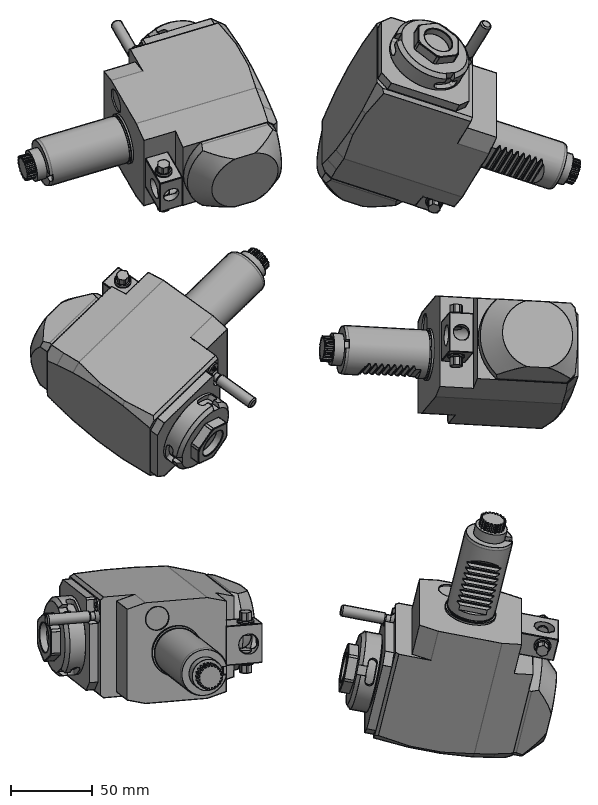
import cadquery as cq
import math


HALF_HEIGHT = 32.0
BACK_Y = 85.0
STEP_Y = 21.0
BODY_LEFT_X = -42.2
BODY_RIGHT_X = 44.0
SEAT_LEFT_X = -31.8
SEAT_RIGHT_X = 32.3
TAPER_START_X = 20.0
TAPER_SLOPE = math.tan(math.radians(15))
LEFT_EDGE_CHAMFER = 2.0
REAR_CORNER_CHAMFER = 3.4
REAR_EDGE_LEGS = [(-44.0, 6.0), (-20.0, 2.3), (0.0, 2.3), (20.0, 5.5), (33.0, 9.7), (46.0, 14.6)]

SPINDLE_Y = 55.0
CAP_RADIUS = 33.5
CAP_END_X = 61.5
CAP_CHAMFER = 11.5
CAP_REAR_Y = 81.0
CAP_HALF_HEIGHT = 25.2
CAP_TAPER_X = 45.8

PLATE_SIZE = 58.8
PLATE_LEFT_X = -47.8
PLATE_CORNER = 6.5
NOTCH_Y = 31.3
NOTCH_LIP = 1.2
PIN_Y = 26.3
PIN_Z = 19.0
PIN_CLEARANCE_RADIUS = 4.7

COLLAR_RADIUS = 22.0
NUT_RADIUS = 24.4
NUT_LEFT_X = -61.1
NUT_RIGHT_X = -48.5
NUT_CHAMFER = 2.4
NUT_SLOT_COUNT = 3
KEY_SLOT_FLOOR = 21.5
KIDNEY_FLOOR = 21.0
KEY_SLOT_WIDTH = 6.0
KIDNEY_X = -52.7
KIDNEY_WIDTH = 5.4
KIDNEY_HALF_ANGLE = 20.5

HEX_LEFT_X = -67.5
HEX_FLATS = 27.0
HEX_CORNER_RADIUS = 15.1
HEX_EDGE_CHAMFER = 0.4
BORE_RADIUS = 9.2
BORE_DEPTH = 4.8
BORE_CHAMFER = 0.4

PIN_TIP_X = -75.38
PIN_RADIUS = 3.5
PIN_TIP_CHAMFER = 0.9
PIN_SHOULDER_X = -48.3
PIN_NECK_RADIUS = 2.7
PIN_NECK_LEFT_X = -47.4
PIN_NECK_RIGHT_X = -44.6
PIN_FLARE_RADIUS = 4.4
SCREW_Z = 26.0
SCREW_RADIUS = 4.0
SCREW_HEIGHT = 1.2
SCREW_SOCKET_FLATS = 2.8
SCREW_SOCKET_DEPTH = 0.8

SHANK_RADIUS = 15.0
SHANK_LENGTH = 55.0
SHANK_CHAMFER_RADIAL = 0.5
SHANK_CHAMFER_AXIAL = 1.7
SEAT_RING_RADIUS = 15.9
SEAT_RING_LENGTH = 1.3
RELIEF_RADIUS = 14.7
RELIEF_END = 2.3
NECK_RADIUS = 9.9
NECK_END = 61.3
SPLINE_END = 67.0
SPLINE_TIP_RADIUS = 7.9
SPLINE_ROOT_RADIUS = 6.9
SPLINE_TEETH = 20
TOOTH_TIP_SHARE = 0.18
TOOTH_ROOT_SHARE = 0.30
KEYWAY_WIDTH = 5.2
KEYWAY_STEP_X = 13.0
KEYWAY_INNER_DEPTH = 4.0
KEYWAY_OUTER_DEPTH = 2.0

RACK_Z = -12.3
RACK_START = 6.7
RACK_END = 41.8
RACK_VALLEY_Z = -10.6
RACK_PITCH = 4.0
RACK_FIRST_VALLEY = 11.6
RACK_VALLEYS = 8
RACK_VALLEY_FLAT = 0.6
RACK_VALLEY_WIDTH = 3.0

RECESS_X = -12.3
RECESS_Z = 21.4
RECESS_RADIUS = 7.5
RECESS_DEPTH = 1.0

BLOCK_RIGHT_X = 55.8
BLOCK_FRONT_Y = 0.9
BLOCK_BACK_Y = 16.0
BLOCK_HALF_HEIGHT = 12.5
BLOCK_CHAMFER = 0.4
BLOCK_HOLE_X = 46.9
BLOCK_HOLE_RADIUS = 6.4
CROSS_HOLE_RADIUS = 5.0
BLOCK_SCREW_Y = 7.0
BLOCK_SCREW_RADIUS = 3.6
BLOCK_SCREW_TIP_Z = 4.8
WASHER_RADIUS = 5.2
WASHER_HEIGHT = 1.5
WASHER_CHAMFER = 0.7
BOLT_FLATS = 7.0
BOLT_CORNER_RADIUS = 3.8
BOLT_TOP_Z = 19.2


def box(x_range, y_range, z_range):
    size = [high - low for low, high in (x_range, y_range, z_range)]
    return cq.Workplane(
        "XY", origin=(x_range[0], y_range[0], z_range[0])
    ).box(*size, centered=False)


def rod(x_start, x_end, radius, y=SPINDLE_Y, z=0.0):
    """Cylinder along X."""
    return cq.Workplane("YZ", origin=(x_start, y, z)).circle(radius).extrude(x_end - x_start)


def shank_rod(start, end, radius):
    """Cylinder along -Y between two distances from the seating face."""
    return cq.Workplane("XZ", origin=(0, -start, 0)).circle(radius).extrude(end - start)


def both_sides(solid):
    """The solid together with its mirror image in the plane z = 0."""
    return solid.union(solid.mirror("XY"))


def hexagon(workplane, flats, turn, height):
    """Hexagonal prism; turn is the angle of its first corner in degrees."""
    corner_radius = flats / math.sqrt(3)
    corners = []
    for index in range(6):
        angle = math.radians(turn + 60 * index)
        corners.append((corner_radius * math.cos(angle), corner_radius * math.sin(angle)))
    return workplane.polyline(corners).close().extrude(height)


def tapered_prism(start_x, end_x, half_height, y_range, taper_x):
    """Slab whose upper and lower faces lean in by 15 degrees beyond taper_x."""
    end_half_height = half_height - (end_x - taper_x) * TAPER_SLOPE
    outline = [
        (start_x, -half_height),
        (taper_x, -half_height),
        (end_x, -end_half_height),
        (end_x, end_half_height),
        (taper_x, half_height),
        (start_x, half_height),
    ]
    slab = cq.Workplane("XZ", origin=(0, y_range[1], 0)).polyline(outline).close()
    return slab.extrude(y_range[1] - y_range[0])


def rear_edge_cutter():
    """Wedges that bevel the upper rear edge by a leg that varies along X."""
    spare = 1.0
    cutter = None
    for (x_start, leg_start), (x_end, leg_end) in zip(REAR_EDGE_LEGS, REAR_EDGE_LEGS[1:]):
        sections = []
        for x, leg in ((x_start, leg_start), (x_end, leg_end)):
            low_z = HALF_HEIGHT - leg - spare
            low_y = BACK_Y - leg - spare
            corners = [
                cq.Vector(x, BACK_Y + spare, low_z),
                cq.Vector(x, BACK_Y + spare, HALF_HEIGHT + spare),
                cq.Vector(x, low_y, HALF_HEIGHT + spare),
            ]
            sections.append(cq.Wire.makePolygon(corners, close=True))
        wedge = cq.Workplane(obj=cq.Solid.makeLoft(sections, True))
        cutter = wedge if cutter is None else cutter.union(wedge)
    return cutter


def make_housing():
    body = tapered_prism(BODY_LEFT_X, BODY_RIGHT_X, HALF_HEIGHT, (STEP_Y, BACK_Y), TAPER_START_X)
    body = body.edges("|Y and <X").chamfer(LEFT_EDGE_CHAMFER)
    body = body.edges("|Z and >X and >Y").chamfer(REAR_CORNER_CHAMFER)
    body = body.cut(both_sides(rear_edge_cutter()))

    seat_right = tapered_prism(0, SEAT_RIGHT_X, HALF_HEIGHT, (0, STEP_Y), TAPER_START_X)
    seat_left = tapered_prism(0, -SEAT_LEFT_X, HALF_HEIGHT, (0, STEP_Y), TAPER_START_X)
    housing = body.union(seat_right).union(seat_left.mirror("YZ"))
    recess = cq.Workplane("XZ", origin=(RECESS_X, 0, RECESS_Z)).circle(RECESS_RADIUS)
    return housing.cut(recess.extrude(-RECESS_DEPTH))


def make_cap():
    cap = rod(BODY_RIGHT_X, CAP_END_X, CAP_RADIUS).faces(">X").chamfer(CAP_CHAMFER)
    envelope = tapered_prism(
        BODY_RIGHT_X, CAP_END_X, CAP_HALF_HEIGHT, (SPINDLE_Y - CAP_RADIUS, CAP_REAR_Y), CAP_TAPER_X
    )
    return cap.intersect(envelope)


def make_plate():
    half = PLATE_SIZE / 2
    thickness = BODY_LEFT_X - PLATE_LEFT_X
    plate = cq.Workplane("YZ", origin=(PLATE_LEFT_X, SPINDLE_Y, 0)).rect(PLATE_SIZE, PLATE_SIZE)
    plate = plate.extrude(thickness).edges("|X").chamfer(PLATE_CORNER)
    notch = [
        (SPINDLE_Y - half, PIN_Z),
        (NOTCH_Y, PIN_Z),
        (NOTCH_Y, half - NOTCH_LIP),
        (NOTCH_Y + NOTCH_LIP, half),
        (SPINDLE_Y - half, half),
    ]
    notch_cutter = cq.Workplane("YZ", origin=(PLATE_LEFT_X, 0, 0)).polyline(notch).close()
    plate = plate.cut(notch_cutter.extrude(thickness))
    return plate.cut(rod(PLATE_LEFT_X, BODY_LEFT_X, PIN_CLEARANCE_RADIUS, PIN_Y, PIN_Z))


def nut_slot_cutter():
    """Axial key slot and kidney slot at the +Y side of the nut."""
    spare = 1.0
    reach = NUT_RADIUS + spare
    key_slot = box(
        (NUT_LEFT_X, KIDNEY_X),
        (SPINDLE_Y + KEY_SLOT_FLOOR, SPINDLE_Y + reach),
        (-KEY_SLOT_WIDTH / 2, KEY_SLOT_WIDTH / 2),
    )
    end_radius = KIDNEY_WIDTH / 2
    end_angle = KIDNEY_HALF_ANGLE - math.degrees(end_radius / NUT_RADIUS)
    sector_reach = 2 * reach
    edge_y = sector_reach * math.cos(math.radians(end_angle))
    edge_z = sector_reach * math.sin(math.radians(end_angle))
    left_x = KIDNEY_X - end_radius
    sector = cq.Workplane("YZ", origin=(left_x, SPINDLE_Y, 0))
    sector = sector.polyline([(0, 0), (edge_y, -edge_z), (edge_y, edge_z)]).close()
    rim = rod(left_x, left_x + KIDNEY_WIDTH, reach)
    kidney = sector.extrude(KIDNEY_WIDTH).intersect(rim)
    for angle in (-end_angle, end_angle):
        end = cq.Workplane("XZ", origin=(KIDNEY_X, SPINDLE_Y, 0)).circle(end_radius).extrude(-reach)
        kidney = kidney.union(turn_about_spindle(end, angle))
    kidney = kidney.cut(rod(NUT_LEFT_X, NUT_RIGHT_X, KIDNEY_FLOOR))
    return key_slot.union(kidney)


def turn_about_spindle(solid, angle):
    return solid.rotate((0, SPINDLE_Y, 0), (1, SPINDLE_Y, 0), angle)


def make_nut():
    nut = rod(NUT_LEFT_X, NUT_RIGHT_X, NUT_RADIUS).faces("<X").chamfer(NUT_CHAMFER)
    cutter = nut_slot_cutter()
    for index in range(NUT_SLOT_COUNT):
        nut = nut.cut(turn_about_spindle(cutter, 360 / NUT_SLOT_COUNT * index))
    nut = nut.union(rod(NUT_RIGHT_X, PLATE_LEFT_X, COLLAR_RADIUS))

    hex_plane = cq.Workplane("YZ", origin=(HEX_LEFT_X, SPINDLE_Y, 0))
    hex_head = hexagon(hex_plane, HEX_FLATS, 90, NUT_LEFT_X - HEX_LEFT_X)
    hex_head = hex_head.intersect(rod(HEX_LEFT_X, NUT_LEFT_X, HEX_CORNER_RADIUS))
    hex_head = hex_head.faces("<X").chamfer(HEX_EDGE_CHAMFER)
    bore = rod(HEX_LEFT_X, HEX_LEFT_X + BORE_DEPTH, BORE_RADIUS)
    hex_head = hex_head.cut(bore)
    hex_head = hex_head.faces("<X").edges("%CIRCLE").chamfer(BORE_CHAMFER)
    return nut.union(hex_head)


def make_pin():
    """Turned coolant pin, revolved from its (x, radius) profile."""
    profile = [
        (PIN_TIP_X, 0),
        (PIN_TIP_X, PIN_RADIUS - PIN_TIP_CHAMFER),
        (PIN_TIP_X + PIN_TIP_CHAMFER, PIN_RADIUS),
        (PIN_SHOULDER_X, PIN_RADIUS),
        (PIN_NECK_LEFT_X, PIN_NECK_RADIUS),
        (PIN_NECK_RIGHT_X, PIN_NECK_RADIUS),
        (BODY_LEFT_X, PIN_FLARE_RADIUS),
        (BODY_LEFT_X, 0),
    ]
    pin = cq.Workplane("XY").polyline(profile).close().revolve(360, (0, 0, 0), (1, 0, 0))
    return pin.translate((0, PIN_Y, PIN_Z))


def make_cover_screw():
    left_x = BODY_LEFT_X - SCREW_HEIGHT
    socket_plane = cq.Workplane("YZ", origin=(left_x, PIN_Y, SCREW_Z))
    socket = hexagon(socket_plane, SCREW_SOCKET_FLATS, 90, SCREW_SOCKET_DEPTH)
    return rod(left_x, BODY_LEFT_X, SCREW_RADIUS, PIN_Y, SCREW_Z).cut(socket)


def rack_cutter():
    """Flat under the shank with a 45 degree run-out and V-shaped valleys, as (y, z) outlines."""
    spare = 1.0
    run_out = RACK_Z + SHANK_RADIUS + spare
    flat = [
        (-RACK_START, RACK_Z),
        (-RACK_START, RACK_Z - run_out),
        (-RACK_END - run_out, RACK_Z - run_out),
        (-RACK_END, RACK_Z),
    ]
    plane = cq.Workplane("YZ", origin=(-SHANK_RADIUS, 0, 0))
    cutter = plane.polyline(flat).close().extrude(2 * SHANK_RADIUS)
    for index in range(RACK_VALLEYS):
        middle = -RACK_FIRST_VALLEY - index * RACK_PITCH
        valley = [
            (middle - RACK_VALLEY_WIDTH / 2, RACK_Z),
            (middle - RACK_VALLEY_FLAT / 2, RACK_VALLEY_Z),
            (middle + RACK_VALLEY_FLAT / 2, RACK_VALLEY_Z),
            (middle + RACK_VALLEY_WIDTH / 2, RACK_Z),
        ]
        cutter = cutter.union(plane.polyline(valley).close().extrude(2 * SHANK_RADIUS))
    return cutter


def make_spline():
    outline = []
    pitch = 2 * math.pi / SPLINE_TEETH
    tooth_corners = [
        (-TOOTH_ROOT_SHARE, SPLINE_ROOT_RADIUS),
        (-TOOTH_TIP_SHARE, SPLINE_TIP_RADIUS),
        (TOOTH_TIP_SHARE, SPLINE_TIP_RADIUS),
        (TOOTH_ROOT_SHARE, SPLINE_ROOT_RADIUS),
    ]
    for tooth in range(SPLINE_TEETH):
        for share, radius in tooth_corners:
            angle = math.pi / 2 + (tooth + share) * pitch
            outline.append((radius * math.cos(angle), radius * math.sin(angle)))
    spline = cq.Workplane("XZ", origin=(0, -NECK_END, 0)).polyline(outline).close()
    return spline.extrude(SPLINE_END - NECK_END)


def make_shank():
    barrel = shank_rod(RELIEF_END, SHANK_LENGTH, SHANK_RADIUS)
    barrel = barrel.faces("<Y").chamfer(SHANK_CHAMFER_AXIAL, SHANK_CHAMFER_RADIAL)
    shank = barrel.cut(rack_cutter())
    half_width = KEYWAY_WIDTH / 2
    for x_start, x_end, depth in (
        (NECK_RADIUS, KEYWAY_STEP_X, KEYWAY_INNER_DEPTH),
        (KEYWAY_STEP_X, SHANK_RADIUS, KEYWAY_OUTER_DEPTH),
    ):
        y_range = (-SHANK_LENGTH, -SHANK_LENGTH + depth)
        shank = shank.cut(box((x_start, x_end), y_range, (-half_width, half_width)))
    shank = shank.union(shank_rod(0, SEAT_RING_LENGTH, SEAT_RING_RADIUS))
    shank = shank.union(shank_rod(SEAT_RING_LENGTH, RELIEF_END, RELIEF_RADIUS))
    shank = shank.union(shank_rod(SHANK_LENGTH, NECK_END, NECK_RADIUS))
    return shank.union(make_spline())


def make_block_screw():
    """Upper screw of the side block: threaded end, washer and hexagon head."""
    washer_top = BLOCK_HALF_HEIGHT + WASHER_HEIGHT

    def level(z):
        return cq.Workplane("XY", origin=(BLOCK_HOLE_X, BLOCK_SCREW_Y, z))

    head_height = BOLT_TOP_Z - washer_top
    head = hexagon(level(washer_top), BOLT_FLATS, 90, head_height)
    head = head.intersect(level(washer_top).circle(BOLT_CORNER_RADIUS).extrude(head_height))
    washer = level(BLOCK_HALF_HEIGHT).circle(WASHER_RADIUS).extrude(WASHER_HEIGHT)
    washer = washer.faces(">Z").chamfer(WASHER_CHAMFER)
    threaded_length = BLOCK_HALF_HEIGHT - BLOCK_SCREW_TIP_Z
    threaded_end = level(BLOCK_SCREW_TIP_Z).circle(BLOCK_SCREW_RADIUS).extrude(threaded_length)
    return threaded_end.union(washer).union(head)


def make_side_block():
    block = box(
        (SEAT_RIGHT_X, BLOCK_RIGHT_X),
        (BLOCK_FRONT_Y, BLOCK_BACK_Y),
        (-BLOCK_HALF_HEIGHT, BLOCK_HALF_HEIGHT),
    )
    block = block.edges("|X or (>X and |Y) or (>X and |Z)").chamfer(BLOCK_CHAMFER)
    hole = cq.Workplane("XZ", origin=(BLOCK_HOLE_X, BLOCK_BACK_Y, 0)).circle(BLOCK_HOLE_RADIUS)
    block = block.cut(hole.extrude(BLOCK_BACK_Y - BLOCK_FRONT_Y))
    middle_y = (BLOCK_FRONT_Y + BLOCK_BACK_Y) / 2
    block = block.cut(rod(BLOCK_HOLE_X, BLOCK_RIGHT_X, CROSS_HOLE_RADIUS, middle_y))
    return block.union(both_sides(make_block_screw()))


result = make_housing()
for component in (
    make_cap(),
    make_plate(),
    make_nut(),
    make_pin(),
    make_cover_screw(),
    make_shank(),
    make_side_block(),
):
    result = result.union(component)